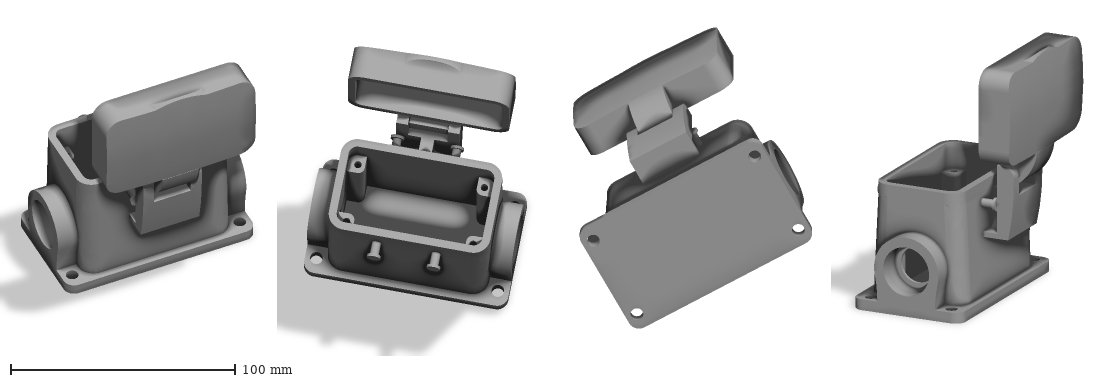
import cadquery as cq
import math


base_width = 54.1
base_length = 92.5
base_thickness = 5.0
base_corner_radius = 5.0
mount_hole_radius = 2.8
mount_hole_x = 20.0
mount_hole_y = 41.1

shell_length = 73.1
shell_top_width = 43.0
shell_foot_width = 47.5
shell_corner_radius = 7.5
shell_top = 57.0
rim_start = 51.5
wall = 3.5
floor_top = 3.5

post_top = 45.0
post_inner_x = 9.6
post_inner_y = 25.4
post_edge_radius = 2.9
screw_x = 13.5
screw_y = 28.7
screw_radius = 1.6
screw_depth = 10.0

entry_z = 20.9
entry_radius = 16.0
entry_foot_half_width = 14.3
entry_neck_z = 17.6
socket_radius = 11.4
socket_depth = 11.8
bore_radius = 8.5

pin_z = 47.3
pin_y = 13.5
pin_tip_x = 29.0
pin_radius = 2.0
pin_head_radius = 3.0
pin_head_thickness = 1.3

bracket_x = 29.3
bracket_bottom = 31.5
bracket_foot_x = 34.8
bracket_back_x = 37.6
bracket_back_z = 56.4
bracket_top = 65.8
bracket_top_radius = 5.4
bracket_half_width = 14.3
slot_half_width = 9.0
web_half_width = 2.9
shelf_thickness = 2.4
web_fillet = 4.2

lid_x = 31.2
lid_apex_x = 48.0
lid_length = shell_length
lid_height = 43.4
lid_z = 94.0
lid_wall_y = 3.3
lid_wall_z = 3.9
lid_back_thickness = 3.5
lid_inner_radius = 3.5
dome_fall_y = 1.0
dome_fall_z = 1.6
lid_bottom = lid_z - lid_height / 2
lid_top = lid_z + lid_height / 2

tab_top = 117.6
tab_half_width = 12.6
tab_start_x = 40.4
scoop_radius = 4.7

tongue_half_width = 8.7
tongue_x = 37.3
tongue_back_x = 46.4
tongue_mid = (44.1, 64.8)
foot_x = 31.2
foot_back_x = 36.5
foot_bottom = 56.3
foot_top = 63.2


def rounded_block(width, length, radius, bottom, top):
    return (
        cq.Workplane("XY").workplane(offset=bottom)
        .rect(width, length).extrude(top - bottom)
        .edges("|Z").fillet(radius)
    )


def make_shell_block():
    """Outside of the shell: side walls drafted up to the rim, then upright."""
    foot_outline = cq.Sketch().rect(shell_foot_width, shell_length).vertices().fillet(shell_corner_radius)
    rim_outline = cq.Sketch().rect(shell_top_width, shell_length).vertices().fillet(shell_corner_radius)
    drafted = (
        cq.Workplane("XY")
        .placeSketch(
            foot_outline.moved(cq.Location(cq.Vector(0, 0, base_thickness))),
            rim_outline.moved(cq.Location(cq.Vector(0, 0, rim_start))),
        )
        .loft(ruled=True)
    )
    rim = rounded_block(shell_top_width, shell_length, shell_corner_radius, rim_start, shell_top)
    return drafted.union(rim)


def make_cavity():
    width = shell_top_width - 2 * wall
    length = shell_length - 2 * wall
    return rounded_block(width, length, shell_corner_radius - wall, floor_top, shell_top)


def make_base():
    flange = rounded_block(base_width, base_length, base_corner_radius, 0, base_thickness)
    holes = (
        cq.Workplane("XY")
        .rect(2 * mount_hole_x, 2 * mount_hole_y, forConstruction=True).vertices()
        .circle(mount_hole_radius).extrude(base_thickness)
    )
    return flange.cut(holes)


def make_entry_bosses():
    """Round boss on a flared foot, running the full length of the base."""
    neck_x = math.sqrt(entry_radius**2 - (entry_z - entry_neck_z) ** 2)
    half = (
        cq.Workplane("XZ").workplane(offset=-base_length / 2)
        .moveTo(0, entry_z + entry_radius)
        .threePointArc((entry_radius, entry_z), (neck_x, entry_neck_z))
        .tangentArcPoint((entry_foot_half_width, base_thickness), relative=False)
        .lineTo(entry_foot_half_width, 0)
        .lineTo(0, 0)
        .close().extrude(base_length)
    )
    return half.union(half.mirror("YZ"))


def make_entry_bores():
    bores = (
        cq.Workplane("XZ").workplane(offset=-base_length / 2)
        .center(0, entry_z).circle(bore_radius).extrude(base_length)
    )
    for start in (-base_length / 2, base_length / 2 - socket_depth):
        socket = (
            cq.Workplane("XZ").workplane(offset=start)
            .center(0, entry_z).circle(socket_radius).extrude(socket_depth)
        )
        bores = bores.union(socket)
    return bores


def make_posts(cavity):
    """Screw posts that fill the four corners of the cavity."""
    reach_x = shell_top_width / 2
    reach_y = shell_length / 2
    post = (
        cq.Workplane("XY").workplane(offset=floor_top)
        .moveTo(post_inner_x, post_inner_y).lineTo(reach_x, post_inner_y)
        .lineTo(reach_x, reach_y).lineTo(post_inner_x, reach_y).close()
        .extrude(post_top - floor_top)
        .edges("|Z and <X and <Y").fillet(post_edge_radius)
    )
    screw_hole = (
        cq.Workplane("XY").workplane(offset=post_top - screw_depth)
        .center(screw_x, screw_y).circle(screw_radius).extrude(screw_depth)
    )
    post = post.intersect(cavity).cut(screw_hole)
    pair = post.union(post.mirror("YZ"))
    return pair.union(pair.mirror("XZ"))


def make_pin(side, y):
    """Headed pin that starts inside the shell wall; side is +1 or -1 along X."""
    root_x = shell_top_width / 2 - wall / 2
    shank = (
        cq.Workplane("YZ").workplane(offset=side * root_x)
        .center(y, pin_z).circle(pin_radius).extrude(side * (pin_tip_x - root_x))
    )
    head = (
        cq.Workplane("YZ").workplane(offset=side * pin_tip_x)
        .center(y, pin_z).circle(pin_head_radius).extrude(-side * pin_head_thickness)
    )
    return shank.union(head)


def make_bracket():
    """Slotted hinge plate carried on a T-shaped arm."""
    plate = (
        cq.Workplane("XZ").workplane(offset=-bracket_half_width)
        .moveTo(bracket_x, bracket_bottom)
        .lineTo(bracket_x, bracket_top)
        .lineTo(bracket_back_x - bracket_top_radius, bracket_top)
        .tangentArcPoint((bracket_back_x, bracket_top - bracket_top_radius), relative=False)
        .lineTo(bracket_back_x, bracket_back_z)
        .tangentArcPoint((bracket_foot_x, bracket_bottom), relative=False)
        .close().extrude(2 * bracket_half_width)
    )
    slot = cq.Workplane("XY").box(
        bracket_back_x - bracket_x, 2 * slot_half_width, bracket_top - rim_start,
        centered=(False, True, False),
    ).translate((bracket_x, 0, rim_start))

    shelf_top = bracket_bottom + shelf_thickness
    fillet_outer = web_half_width + web_fillet
    arm_root = shell_top_width / 2 - wall / 2
    half_arm = (
        cq.Workplane("YZ").workplane(offset=arm_root)
        .moveTo(0, bracket_bottom)
        .lineTo(bracket_half_width, bracket_bottom)
        .lineTo(bracket_half_width, shelf_top)
        .lineTo(fillet_outer, shelf_top)
        .tangentArcPoint((web_half_width, shelf_top + web_fillet), relative=False)
        .lineTo(web_half_width, rim_start)
        .lineTo(0, rim_start)
        .close().extrude(bracket_x - arm_root)
    )
    return plate.cut(slot).union(half_arm).union(half_arm.mirror("XZ"))


def make_housing():
    cavity = make_cavity()
    body = make_base().union(make_shell_block())
    body = body.union(make_entry_bosses()).union(make_bracket())
    for side in (-1, 1):
        for y in (-pin_y, pin_y):
            body = body.union(make_pin(side, y))
    return body.cut(cavity).cut(make_entry_bores()).union(make_posts(cavity)).clean()


def dome_solid(apex_x, front_x):
    """Slab from front_x to a doubly curved back that peaks at apex_x."""
    radius_y = (lid_length / 2) ** 2 / (2 * dome_fall_y)
    radius_z = (lid_height / 2) ** 2 / (2 * dome_fall_z)
    half_span = lid_height
    edge_x = apex_x - radius_z + math.sqrt(radius_z**2 - half_span**2)
    half_angle = math.degrees(math.atan(lid_length / radius_y))
    axis_x = apex_x - radius_y
    profile = (
        cq.Workplane("XZ")
        .moveTo(front_x, lid_z - half_span)
        .lineTo(edge_x, lid_z - half_span)
        .threePointArc((apex_x, lid_z), (edge_x, lid_z + half_span))
        .lineTo(front_x, lid_z + half_span)
        .close()
    )
    slab = profile.revolve(2 * half_angle, (axis_x, 0), (axis_x, 1))
    return slab.rotate((axis_x, 0, 0), (axis_x, 0, 1), -half_angle)


def lid_block(width, height, radius):
    return (
        cq.Workplane("YZ").workplane(offset=lid_x).center(0, lid_z)
        .rect(width, height).extrude(lid_apex_x - lid_x)
        .edges("|X").fillet(radius)
    )


def make_tab():
    """Arched hump on the lid's upper edge with a scooped front for a fingertip."""
    hump = (
        cq.Workplane("YZ").workplane(offset=tab_start_x)
        .moveTo(-tab_half_width, lid_top)
        .threePointArc((0, tab_top), (tab_half_width, lid_top))
        .close().extrude(lid_apex_x - tab_start_x)
    )
    scoop = (
        cq.Workplane("XZ").workplane(offset=-tab_half_width)
        .center(tab_start_x, lid_top + scoop_radius)
        .circle(scoop_radius).extrude(2 * tab_half_width)
    )
    return hump.cut(scoop)


def make_tongue():
    """Curved arm under the lid that ends in a foot lying in the bracket slot."""
    return (
        cq.Workplane("XZ").workplane(offset=-tongue_half_width)
        .moveTo(tongue_x, lid_bottom)
        .lineTo(tongue_back_x, lid_bottom)
        .threePointArc(tongue_mid, (foot_back_x, foot_bottom))
        .lineTo(foot_x, foot_bottom)
        .lineTo(foot_x, foot_top)
        .lineTo(tongue_x, foot_top)
        .close().extrude(2 * tongue_half_width)
    )


def make_lid():
    shell = lid_block(lid_length, lid_height, shell_corner_radius).union(make_tab())
    shell = shell.intersect(dome_solid(lid_apex_x, lid_x))
    hollow = lid_block(lid_length - 2 * lid_wall_y, lid_height - 2 * lid_wall_z, lid_inner_radius)
    hollow = hollow.intersect(dome_solid(lid_apex_x - lid_back_thickness, lid_x))
    return shell.cut(hollow).union(make_tongue())


housing = make_housing()
lid = make_lid()

result = cq.Compound.makeCompound([housing.val(), lid.val()])